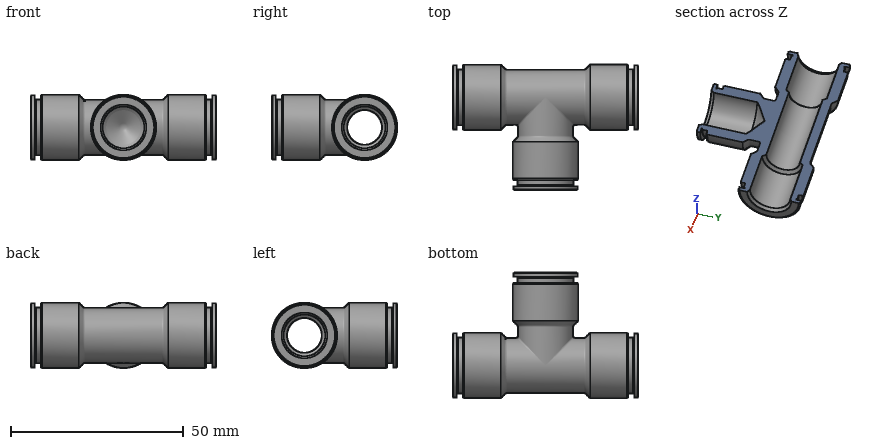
import cadquery as cq
import math

run_length = 53.8
port_reach = run_length / 2

tube_radius = 8.0
collar_radius = 19.0 / 2
neck_radius = 8.1
flange_radius = 18.65 / 2

collar_start = 12.9
collar_end = 23.95
flange_thickness = 1.25
flange_start = port_reach - flange_thickness

collar_bevel_length = 0.5
collar_bevel_depth = 0.25
neck_bevel = 0.4
flange_bevel_length = 0.25
flange_bevel_depth = 0.5
crossing_fillet = 0.5

shoulder_blend = 0.75
shoulder_angle = math.radians(45)
shoulder_start = collar_start - (collar_radius - tube_radius) / math.tan(shoulder_angle)
blend_reach = shoulder_blend * math.tan(shoulder_angle / 2)
blend_rise = blend_reach * math.sin(shoulder_angle)
blend_end = shoulder_start + blend_reach * math.cos(shoulder_angle)
tee_reach = shoulder_start - blend_reach

mouth_radius = 6.6
socket_radius = 6.0
bore_radius = 5.0
socket_depth = 14.0
mouth_angle = math.radians(30)
seat_angle = math.radians(50)
tip_angle = math.radians(59)

mouth_length = (mouth_radius - socket_radius) / math.tan(mouth_angle)
seat_length = (socket_radius - bore_radius) / math.tan(seat_angle)
tip_length = bore_radius / math.tan(tip_angle)
socket_end = port_reach - socket_depth
seat_end = socket_end - seat_length

branch_angle = 0
run_angles = (-90, 90)


def revolve_arm(outline_points):
    """Turn a closed (radius, distance) outline about the -Y arm axis."""
    points = [(radius, -distance) for radius, distance in outline_points]
    return cq.Workplane("XY").polyline(points).close().revolve(360, (0, 0, 0), (0, 1, 0))


def turn_arm(shape, angle):
    """Swing a -Y arm shape about Z to another arm direction."""
    return shape.rotate((0, 0, 0), (0, 0, 1), angle)


def make_tee():
    """Two equal tubes crossing at a right angle, with the corner between them rounded."""
    run = cq.Workplane("YZ").circle(tube_radius).extrude(tee_reach, both=True)
    branch = cq.Workplane("XZ").circle(tube_radius).extrude(tee_reach)
    return run.union(branch).edges("%ELLIPSE").fillet(crossing_fillet)


def make_port():
    """Solid outside of the -Y port: blended shoulder, collar, neck and flange."""
    outline = (
        cq.Workplane("XY")
        .moveTo(0, -tee_reach)
        .lineTo(tube_radius, -tee_reach)
        .radiusArc((tube_radius + blend_rise, -blend_end), -shoulder_blend)
        .lineTo(collar_radius, -collar_start)
        .lineTo(collar_radius, -(collar_end - collar_bevel_length))
        .lineTo(collar_radius - collar_bevel_depth, -collar_end)
        .lineTo(neck_radius, -collar_end)
        .lineTo(neck_radius, -(flange_start - neck_bevel))
        .lineTo(neck_radius - neck_bevel, -flange_start)
        .lineTo(flange_radius, -flange_start)
        .lineTo(flange_radius, -(port_reach - flange_bevel_length))
        .lineTo(flange_radius - flange_bevel_depth, -port_reach)
        .lineTo(0, -port_reach)
        .close()
    )
    return outline.revolve(360, (0, 0, 0), (0, 1, 0))


def make_bore(inner_end):
    """Hollow of the -Y arm: mouth cone, socket and seat cone, then the given inner end."""
    return revolve_arm([
        (0, port_reach),
        (mouth_radius, port_reach),
        (socket_radius, port_reach - mouth_length),
        (socket_radius, socket_end),
        (bore_radius, seat_end),
    ] + inner_end)


body = make_tee()
port = make_port()
for angle in (branch_angle,) + run_angles:
    body = body.union(turn_arm(port, angle))

run_bore = make_bore([(bore_radius, 0), (0, 0)])
for angle in run_angles:
    body = body.cut(turn_arm(run_bore, angle))

branch_bore = make_bore([(0, seat_end - tip_length)])
result = body.cut(branch_bore)